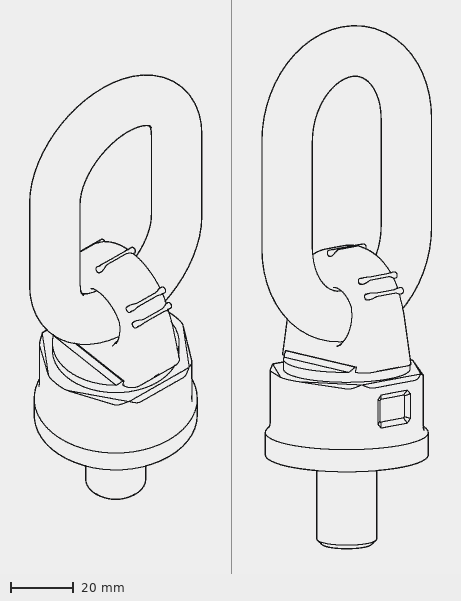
import cadquery as cq
import math

SHANK_RADIUS = 9.6
SHANK_CHAMFER = 1.5
FLANGE_BOTTOM = 29.0
FLANGE_THICKNESS = 7.2
FLANGE_DIAMETER = 52.0
END_FLAT_APOTHEM = 22.7
SIDE_FLAT_APOTHEM = 23.2
HEX_CORNER_RADIUS = 24.7
HEX_TOP = 56.9
CORNER_BLEND = 5.0
SHOULDER_RISE = 3.2
SHOULDER_BLEND = 2.7
TOP_BEVEL = 1.3

PANEL_WIDTH = 13.8
PANEL_HEIGHT = 10.8
PANEL_BORDER = 1.7
PANEL_DEPTH = 1.0
PANEL_CENTRE_Z = 47.5
PANEL_CORNER = 1.3

COLLAR_RADIUS = 20.2
COLLAR_TOP = 60.0
LUG_RADIUS = 20.5
LUG_TOP = 96.4
LUG_TOP_HALF_DEPTH = 7.5
LUG_FOOT_HALF_DEPTH = 11.3
LUG_TAPER_TOP = 80.7
LUG_EDGE_FILLET = 3.9
FOOT_BEVEL = 1.7
EYE_RADIUS = 9.3
EYE_CENTRE_Z = 74.5
EYE_LIP_FILLET = 4.2

RIB_RADIUS = 1.0
RIB_PITCH_RADIUS = 19.7
RIB_ANGLES = (25, 41, 90, 139, 155)
RIB_END_FILLET = 0.3

RING_TOP = 168.2
RING_WIRE_RADIUS = 8.0
RING_HALF_WIDTH = 33.5
RING_STRAIGHT = 35.2

EDGE_MARGIN = 0.2

FLANGE_RADIUS = FLANGE_DIAMETER / 2
FLANGE_TOP = FLANGE_BOTTOM + FLANGE_THICKNESS
SIDE_FLAT_HALF_WIDTH = math.sqrt(HEX_CORNER_RADIUS**2 - SIDE_FLAT_APOTHEM**2)
LUG_ARC_CENTRE_Z = LUG_TOP - LUG_RADIUS
RING_BEND_RADIUS = RING_HALF_WIDTH - RING_WIRE_RADIUS


def cylinder(radius, bottom, top):
    return cq.Workplane("XY").workplane(offset=bottom).circle(radius).extrude(top - bottom)


def flat_apothem(flat_angle):
    return END_FLAT_APOTHEM if flat_angle % 180 == 0 else SIDE_FLAT_APOTHEM


def hex_prism():
    """Round bar with six flats, two of them facing +X and -X, and blended corners."""
    height = HEX_TOP - FLANGE_BOTTOM
    prism = cylinder(HEX_CORNER_RADIUS, FLANGE_BOTTOM, HEX_TOP)
    for flat_angle in (0, 60, 120):
        slab = (
            cq.Workplane("XY").workplane(offset=FLANGE_BOTTOM)
            .rect(2 * flat_apothem(flat_angle), 4 * HEX_CORNER_RADIUS).extrude(height)
            .rotate((0, 0, 0), (0, 0, 1), flat_angle)
        )
        prism = prism.intersect(slab)
    return prism.edges("|Z").fillet(CORNER_BLEND)


def flange():
    """Round flange whose top rises as a cone to the hexagon's flats."""
    return (
        cq.Workplane("XZ")
        .moveTo(0, FLANGE_BOTTOM)
        .lineTo(FLANGE_RADIUS, FLANGE_BOTTOM)
        .lineTo(FLANGE_RADIUS, FLANGE_TOP)
        .lineTo(END_FLAT_APOTHEM, FLANGE_TOP + SHOULDER_RISE)
        .lineTo(0, FLANGE_TOP + SHOULDER_RISE)
        .close()
        .revolve(360, (0, 0, 0), (0, 1, 0))
    )


def top_bevel_cutter(flat_angle):
    """Slab that bevels one flat's top edge; on the side flats the bevel fades towards +Y or -Y."""
    angle = math.radians(flat_angle)
    outward = cq.Vector(math.cos(angle), math.sin(angle), 0)
    along = cq.Vector(-math.sin(angle), math.cos(angle), 0)
    up = cq.Vector(0, 0, 1)
    edge_point = outward * flat_apothem(flat_angle)
    if flat_angle % 180 == 0:
        normal = outward + up
        edge_point = edge_point - up * TOP_BEVEL
    else:
        away = along if along.x * outward.x > 0 else along * -1
        normal = outward + up + away * (TOP_BEVEL / (2 * SIDE_FLAT_HALF_WIDTH))
        edge_point = edge_point - away * SIDE_FLAT_HALF_WIDTH
    plane = cq.Plane(origin=edge_point + up * HEX_TOP, xDir=along.cross(normal), normal=normal)
    slab_width = 4 * HEX_CORNER_RADIUS
    return cq.Workplane(plane).rect(slab_width, slab_width).extrude(HEX_CORNER_RADIUS)


def panel_cutter():
    """Rectangular recess with sloping walls in the -X flat."""
    draft = math.degrees(math.atan2(PANEL_BORDER, PANEL_DEPTH))
    plane = cq.Plane(origin=(-END_FLAT_APOTHEM, 0, PANEL_CENTRE_Z), xDir=(0, 1, 0), normal=(1, 0, 0))
    outline = cq.Sketch().rect(PANEL_WIDTH, PANEL_HEIGHT).vertices().chamfer(PANEL_CORNER)
    return cq.Workplane(plane).placeSketch(outline).extrude(PANEL_DEPTH, taper=draft)


def make_base():
    body = hex_prism().union(flange())
    shoulder_edges = body.edges(
        cq.selectors.BoxSelector(
            (-HEX_CORNER_RADIUS, -HEX_CORNER_RADIUS, FLANGE_TOP + EDGE_MARGIN),
            (HEX_CORNER_RADIUS, HEX_CORNER_RADIUS, FLANGE_TOP + SHOULDER_RISE + EDGE_MARGIN),
        )
    )
    body = shoulder_edges.edges("not |Z").fillet(SHOULDER_BLEND)
    for flat_angle in range(0, 360, 60):
        body = body.cut(top_bevel_cutter(flat_angle))
    body = body.cut(panel_cutter())
    shank = cylinder(SHANK_RADIUS, 0, FLANGE_BOTTOM).faces("<Z").chamfer(SHANK_CHAMFER)
    return body.union(shank)


def lug_blank():
    """Round-topped plate, thicker at the foot, with rounded edges."""
    outline = (
        cq.Workplane("XZ")
        .moveTo(-LUG_RADIUS, COLLAR_TOP)
        .lineTo(LUG_RADIUS, COLLAR_TOP)
        .lineTo(LUG_RADIUS, LUG_ARC_CENTRE_Z)
        .threePointArc((0, LUG_TOP), (-LUG_RADIUS, LUG_ARC_CENTRE_Z))
        .close()
        .extrude(LUG_RADIUS, both=True)
    )
    thickness = (
        cq.Workplane("YZ")
        .moveTo(-LUG_FOOT_HALF_DEPTH, COLLAR_TOP)
        .lineTo(LUG_FOOT_HALF_DEPTH, COLLAR_TOP)
        .lineTo(LUG_TOP_HALF_DEPTH, LUG_TAPER_TOP)
        .lineTo(LUG_TOP_HALF_DEPTH, LUG_TOP)
        .lineTo(-LUG_TOP_HALF_DEPTH, LUG_TOP)
        .lineTo(-LUG_TOP_HALF_DEPTH, LUG_TAPER_TOP)
        .close()
        .extrude(LUG_RADIUS, both=True)
    )
    blank = outline.intersect(thickness)
    return blank.edges("not (|X or |Y)").fillet(LUG_EDGE_FILLET)


def eye_hole():
    return (
        cq.Workplane("XZ").center(0, EYE_CENTRE_Z)
        .circle(EYE_RADIUS).extrude(LUG_RADIUS, both=True)
    )


def lug_foot():
    """Sloping foot along the front and back of the lug."""
    foot_y = LUG_FOOT_HALF_DEPTH + FOOT_BEVEL
    return (
        cq.Workplane("YZ")
        .moveTo(-foot_y, COLLAR_TOP)
        .lineTo(foot_y, COLLAR_TOP)
        .lineTo(foot_y - FOOT_BEVEL, COLLAR_TOP + FOOT_BEVEL)
        .lineTo(FOOT_BEVEL - foot_y, COLLAR_TOP + FOOT_BEVEL)
        .close()
        .extrude(COLLAR_RADIUS, both=True)
        .intersect(cylinder(COLLAR_RADIUS, COLLAR_TOP, LUG_TOP))
    )


def marking_rib(angle):
    """Round bar lying across the rim of the lug, at an angle above the horizontal."""
    x = RIB_PITCH_RADIUS * math.cos(math.radians(angle))
    z = LUG_ARC_CENTRE_Z + RIB_PITCH_RADIUS * math.sin(math.radians(angle))
    return (
        cq.Workplane("XZ").center(x, z)
        .circle(RIB_RADIUS).extrude(LUG_TOP_HALF_DEPTH, both=True)
        .edges().fillet(RIB_END_FILLET)
    )


def make_eye():
    lug = lug_blank().cut(eye_hole())
    hole_bottom = EYE_CENTRE_Z - EYE_RADIUS
    hole_top = EYE_CENTRE_Z + EYE_RADIUS
    hole_rims = lug.edges(
        cq.selectors.BoxSelector(
            (-EYE_RADIUS - EDGE_MARGIN, -LUG_RADIUS, hole_bottom - EDGE_MARGIN),
            (EYE_RADIUS + EDGE_MARGIN, LUG_RADIUS, hole_top + EDGE_MARGIN),
            boundingbox=True,
        )
    )
    lug = hole_rims.edges("not (|X or |Y)").fillet(EYE_LIP_FILLET)
    eye = cylinder(COLLAR_RADIUS, HEX_TOP, COLLAR_TOP).union(lug_foot()).union(lug)
    for angle in RIB_ANGLES:
        eye = eye.union(marking_rib(angle))
    return eye


def make_ring():
    """Oblong ring of round wire standing in the YZ plane."""
    upper_z = RING_TOP - RING_HALF_WIDTH
    lower_z = upper_z - RING_STRAIGHT
    path = (
        cq.Workplane("YZ")
        .moveTo(RING_BEND_RADIUS, lower_z)
        .lineTo(RING_BEND_RADIUS, upper_z)
        .threePointArc((0, upper_z + RING_BEND_RADIUS), (-RING_BEND_RADIUS, upper_z))
        .lineTo(-RING_BEND_RADIUS, lower_z)
        .threePointArc((0, lower_z - RING_BEND_RADIUS), (RING_BEND_RADIUS, lower_z))
        .close()
    )
    section = cq.Workplane("XY").workplane(offset=lower_z).center(0, RING_BEND_RADIUS)
    return section.circle(RING_WIRE_RADIUS).sweep(path)


base = make_base()
eye = make_eye()
ring = make_ring()

result = cq.Compound.makeCompound([base.solids().val(), eye.solids().val(), ring.solids().val()])